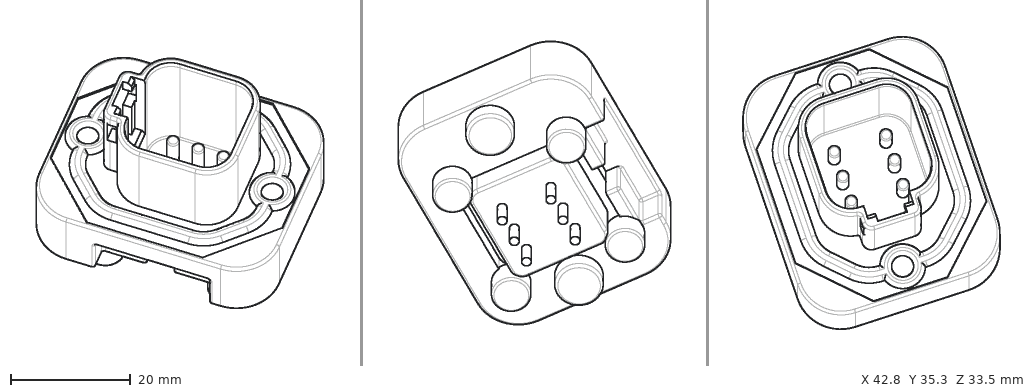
import cadquery as cq
import math

BODY_LENGTH = 42.8
BODY_WIDTH = 35.25
BODY_HEIGHT = 11.6
BODY_CORNER_RADIUS = 7.6
EDGE_RADIUS = 0.5
FEATURE_X = 1.55

RECESS_HALF_WIDTH = 10.25
RECESS_TOP = 6.95
PANEL_FACE_Y = -13.82
GAP_WIDTH = 4.85
GAP_BACK_Y = -11.35
RECESS_EDGE_RADIUS = 0.45

CAVITY_HALF_LENGTH = 10.27
CAVITY_ROOF = 3.8
CAVITY_CORNER_RADIUS = 2.55
BLOCK_LENGTH = 18.9
BLOCK_WIDTH = 17.98
BLOCK_CORNER_RADIUS = 2.15
BLOCK_BOTTOM = -3.1

FOOT_RADIUS = 3.3
FOOT_OFFSET_X = 10.85
FOOT_OFFSET_Y = 10.65
FOOT_BOTTOM = -4.2
FOOT_EDGE_RADIUS = 0.4
HOLE_X = 16.45
HOLE_BOSS_RADIUS = 4.05

SEAL_FLOOR_LENGTH = 41.25
SEAL_FLOOR_WIDTH = 33.65
SEAL_FLOOR_CORNER_CUT = 10.3
SEAL_FLOOR_DEPTH = 0.43

BEAD_HEIGHT = 0.45
BEAD_CREST_WIDTH = 0.9
BEAD_FLANK_RADIUS = 0.9
BEAD_HALF_WIDTH_Y = 13.4
BEAD_CORNER_CUT = 6.98
BEAD_BEND_RADIUS = 6.2

RING_INNER_CREST_RADIUS = 2.55
RING_OUTER_CREST_RADIUS = 3.1
RING_FLANK_RADIUS = 0.73
HOLE_RADIUS = 1.85

SHROUD_LENGTH = 21.15
SHROUD_WIDTH = 20.85
SHROUD_TOP = 26.2
SHROUD_CORNER_RADIUS = 5.55
SHROUD_FLOOR = 5.15
SHROUD_FLOOR_RADIUS = 0.3
SHROUD_WALL = 1.33
MOUTH_WALL = 1.15
LEAD_IN_HEIGHT = 0.75

KEY_OUTER_X = -12.15
KEY_HALF_WIDTH = 5.15
KEY_CORNER_RADIUS = 1.6
KEY_ROOT_RADIUS = 0.45
KEY_WIDE_X = -9.6
KEY_WIDE_HALF_WIDTH = 4.02
KEY_DEEP_X = -11.13
KEY_DEEP_HALF_WIDTH = 2.55
KEY_BEVEL = 0.65
WINDOW_RIGHT_X = -9.35
WINDOW_BOTTOM = 19.5
WINDOW_TOP = 24.05

PIN_PITCH_X = 4.5
PIN_PITCH_Y = 9.1
PIN_UPPER_RADIUS = 1.03
PIN_LOWER_RADIUS = 0.8
PIN_TIP = 10.7
PIN_TIP_RADIUS = 0.25
PIN_BOTTOM = -7.28

BEAD_TOP = BODY_HEIGHT + BEAD_HEIGHT
SEAL_FLOOR_Z = BODY_HEIGHT - SEAL_FLOOR_DEPTH
SHROUD_LEFT_X = FEATURE_X - SHROUD_LENGTH / 2


def span_box(x_range, y_range, z_range):
    """Box given by its lower and upper limits along each axis."""
    limits = (x_range, y_range, z_range)
    size = [high - low for low, high in limits]
    corner = [low for low, high in limits]
    return cq.Workplane("XY").box(*size, centered=False).translate(tuple(corner))


def round_block(length, width, radius, bottom, top, center_x=0.0):
    """Upright block with rounded vertical edges."""
    block = cq.Workplane("XY", origin=(center_x, 0, bottom)).rect(length, width).extrude(top - bottom)
    return block.edges("|Z").fillet(radius)


def post(x, y, radius, bottom, top):
    return cq.Workplane("XY", origin=(x, y, bottom)).circle(radius).extrude(top - bottom)


def make_body():
    body = round_block(BODY_LENGTH, BODY_WIDTH, BODY_CORNER_RADIUS, 0, BODY_HEIGHT)
    front_y = -BODY_WIDTH / 2
    recess_x = (FEATURE_X - RECESS_HALF_WIDTH, FEATURE_X + RECESS_HALF_WIDTH)
    gap_x = (FEATURE_X - GAP_WIDTH / 2, FEATURE_X + GAP_WIDTH / 2)
    body = body.cut(span_box(recess_x, (front_y, PANEL_FACE_Y), (0, RECESS_TOP)))
    body = body.cut(span_box(gap_x, (front_y, GAP_BACK_Y), (0, RECESS_TOP)))

    margin = 0.05
    recess_zone = cq.selectors.BoxSelector(
        (recess_x[0] - margin, front_y - margin, margin),
        (recess_x[1] + margin, PANEL_FACE_Y + margin, RECESS_TOP + margin),
    )
    body = body.edges(recess_zone).fillet(RECESS_EDGE_RADIUS)
    return body.faces("<Z or >Z").edges().fillet(EDGE_RADIUS)


def make_underside(body):
    cavity = round_block(
        2 * CAVITY_HALF_LENGTH, -2 * GAP_BACK_Y, CAVITY_CORNER_RADIUS, 0, CAVITY_ROOF, FEATURE_X
    )
    block = round_block(
        BLOCK_LENGTH, BLOCK_WIDTH, BLOCK_CORNER_RADIUS, BLOCK_BOTTOM, CAVITY_ROOF, FEATURE_X
    )
    body = body.cut(cavity).union(block.faces("<Z").edges().fillet(EDGE_RADIUS))
    for side_x in (-1, 1):
        boss = post(side_x * HOLE_X, 0, HOLE_BOSS_RADIUS, BLOCK_BOTTOM, CAVITY_ROOF)
        body = body.union(boss.faces("<Z").edges().fillet(EDGE_RADIUS))
        for side_y in (-1, 1):
            foot_x = FEATURE_X + side_x * FOOT_OFFSET_X
            foot = post(foot_x, side_y * FOOT_OFFSET_Y, FOOT_RADIUS, FOOT_BOTTOM, EDGE_RADIUS)
            body = body.union(foot.faces("<Z").edges().fillet(FOOT_EDGE_RADIUS))
    return body


def make_seal_floor():
    """Cutter for the depression around the sealing bead."""
    floor = cq.Workplane("XY", origin=(0, 0, BODY_HEIGHT)).rect(SEAL_FLOOR_LENGTH, SEAL_FLOOR_WIDTH)
    return floor.extrude(-SEAL_FLOOR_DEPTH).edges("|Z").chamfer(SEAL_FLOOR_CORNER_CUT)


def bead_prism(offset):
    """Eight-sided rounded block whose outline lies `offset` outside the bead's centre line."""
    half_x = HOLE_X + offset
    half_y = BEAD_HALF_WIDTH_Y + offset
    cut = BEAD_CORNER_CUT + offset * (2 - math.sqrt(2))
    depth = 2 * BEAD_FLANK_RADIUS
    block = cq.Workplane("XY", origin=(0, 0, BEAD_TOP - depth)).rect(2 * half_x, 2 * half_y).extrude(depth)
    return block.edges("|Z").chamfer(cut).edges("|Z").fillet(BEAD_BEND_RADIUS + offset)


def make_bead():
    offset = BEAD_CREST_WIDTH / 2 + BEAD_FLANK_RADIUS
    bead = bead_prism(offset).cut(bead_prism(-offset))
    return bead.faces(">Z").edges().fillet(BEAD_FLANK_RADIUS)


def make_ring(x):
    outer_radius = RING_OUTER_CREST_RADIUS + RING_FLANK_RADIUS
    ring = post(x, 0, outer_radius, BEAD_TOP - 2 * RING_FLANK_RADIUS, BEAD_TOP)
    return ring.faces(">Z").edges().fillet(RING_FLANK_RADIUS)


def make_screw_hole(x):
    """Cutter for the blind hole, whose rounded mouth widens to the inner edge of the ring crest."""
    mouth = RING_INNER_CREST_RADIUS - HOLE_RADIUS
    start = (HOLE_RADIUS, BEAD_TOP - mouth)
    middle = (RING_INNER_CREST_RADIUS - mouth * math.sqrt(0.5), BEAD_TOP - mouth * (1 - math.sqrt(0.5)))
    profile = (
        cq.Workplane("XZ")
        .moveTo(0, SEAL_FLOOR_Z)
        .lineTo(HOLE_RADIUS, SEAL_FLOOR_Z)
        .lineTo(*start)
        .threePointArc(middle, (RING_INNER_CREST_RADIUS, BEAD_TOP))
        .lineTo(0, BEAD_TOP)
        .close()
    )
    return profile.revolve(360, (0, 0, 0), (0, 1, 0)).translate((x, 0, 0))


def make_shroud():
    shroud = round_block(
        SHROUD_LENGTH, SHROUD_WIDTH, SHROUD_CORNER_RADIUS, CAVITY_ROOF, SHROUD_TOP, FEATURE_X
    )
    key = span_box(
        (KEY_OUTER_X, FEATURE_X), (-KEY_HALF_WIDTH, KEY_HALF_WIDTH), (CAVITY_ROOF, SHROUD_TOP)
    )
    shroud = shroud.union(key.edges("|Z and <X").fillet(KEY_CORNER_RADIUS))

    margin = 0.2
    root_zone = cq.selectors.BoxSelector(
        (SHROUD_LEFT_X - margin, -KEY_HALF_WIDTH - margin, CAVITY_ROOF),
        (SHROUD_LEFT_X + margin, KEY_HALF_WIDTH + margin, SHROUD_TOP),
    )
    shroud = shroud.edges("|Z").edges(root_zone).fillet(KEY_ROOT_RADIUS)
    return shroud.faces(">Z").edges().fillet(EDGE_RADIUS)


def make_shroud_cavity():
    cavity = round_block(
        SHROUD_LENGTH - 2 * SHROUD_WALL,
        SHROUD_WIDTH - 2 * SHROUD_WALL,
        SHROUD_CORNER_RADIUS - SHROUD_WALL,
        SHROUD_FLOOR,
        SHROUD_TOP,
        FEATURE_X,
    )
    cavity = cavity.faces("<Z").edges().fillet(SHROUD_FLOOR_RADIUS)

    lead_in_angle = math.degrees(math.atan2(SHROUD_WALL - MOUTH_WALL, LEAD_IN_HEIGHT))
    mouth = (
        cq.Sketch()
        .rect(SHROUD_LENGTH - 2 * MOUTH_WALL, SHROUD_WIDTH - 2 * MOUTH_WALL)
        .vertices()
        .fillet(SHROUD_CORNER_RADIUS - MOUTH_WALL)
    )
    rim = cq.Workplane("XY", origin=(FEATURE_X, 0, SHROUD_TOP))
    return cavity.union(rim.placeSketch(mouth).extrude(-LEAD_IN_HEIGHT, taper=lead_in_angle))


def key_bevel(edge_x, top):
    """Cutter that breaks the channel edge at `edge_x` and `top` at 45 degrees."""
    return (
        cq.Workplane("XZ", origin=(edge_x, KEY_WIDE_HALF_WIDTH, top))
        .polyline([(0, 0), (-KEY_BEVEL, 0), (0, -KEY_BEVEL)])
        .close()
        .extrude(2 * KEY_WIDE_HALF_WIDTH)
    )


def make_key_channel():
    """Stepped channel inside the key housing, open to the shroud cavity."""
    inner_x = SHROUD_LEFT_X + SHROUD_WALL
    heights = (BODY_HEIGHT, SHROUD_TOP)
    wide = span_box((KEY_WIDE_X, inner_x + KEY_BEVEL), (-KEY_WIDE_HALF_WIDTH, KEY_WIDE_HALF_WIDTH), heights)
    deep = span_box((KEY_DEEP_X, inner_x + KEY_BEVEL), (-KEY_DEEP_HALF_WIDTH, KEY_DEEP_HALF_WIDTH), heights)
    bevel = key_bevel(KEY_WIDE_X, SHROUD_TOP)
    sill = key_bevel(inner_x, BODY_HEIGHT)
    window = span_box(
        (KEY_DEEP_X, WINDOW_RIGHT_X),
        (-KEY_HALF_WIDTH, KEY_HALF_WIDTH),
        (WINDOW_BOTTOM, WINDOW_TOP),
    )
    return wide.union(deep).union(bevel).union(sill).union(window)


def make_pin(x, y):
    upper = post(x, y, PIN_UPPER_RADIUS, SHROUD_FLOOR, PIN_TIP).faces(">Z").edges().fillet(PIN_TIP_RADIUS)
    return upper.union(post(x, y, PIN_LOWER_RADIUS, PIN_BOTTOM, SHROUD_FLOOR))


result = make_underside(make_body()).cut(make_seal_floor()).union(make_bead())
for hole_side in (-1, 1):
    result = result.union(make_ring(hole_side * HOLE_X)).cut(make_screw_hole(hole_side * HOLE_X))
result = result.union(make_shroud()).cut(make_shroud_cavity()).cut(make_key_channel())
for column in (-1, 0, 1):
    for row in (-0.5, 0.5):
        result = result.union(make_pin(FEATURE_X + column * PIN_PITCH_X, row * PIN_PITCH_Y))